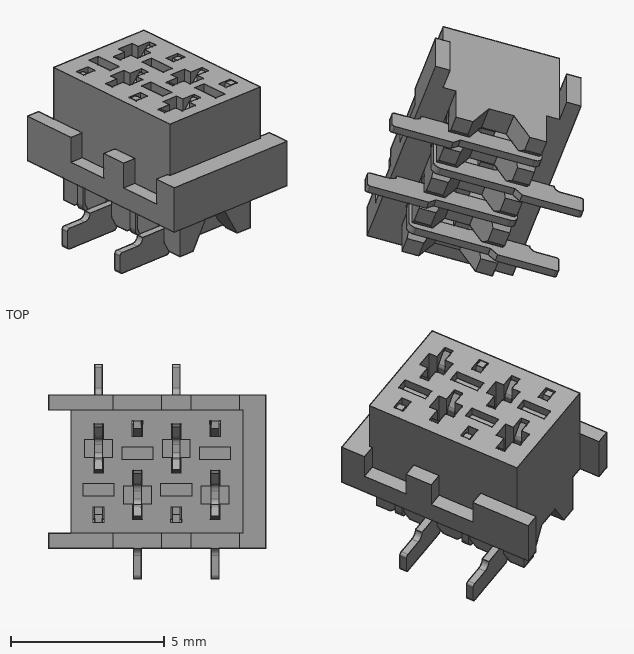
import cadquery as cq
import math

PITCH = 1.27
CONTACT_COUNT = 4
ROW_Y = 0.76
CONTACT_XS = [(i - (CONTACT_COUNT - 1) / 2) * PITCH for i in range(CONTACT_COUNT)]
TAIL_SIDES = [1, -1, 1, -1]
SEATING_HEIGHTS = [0, 0, 0.05, 0.05]

TOP_Z = 5.3
SHELF_Z = 1.805
HOUSING_BOTTOM_Z = 0.31
OVERALL_X = 7.08
BODY_X = 5.61
UPPER_Y = 4.01
LOWER_Y = 3.115

FLANGE_TOP_Z = 3.43
FLANGE_Y = 5.005
FLANGE_LEFT_OVERHANG = 0.72
FLANGE_RIGHT_OVERHANG = OVERALL_X - BODY_X - FLANGE_LEFT_OVERHANG
FLANGE_LEFT_X = -BODY_X / 2 - FLANGE_LEFT_OVERHANG
FLANGE_RIGHT_X = BODY_X / 2 + FLANGE_RIGHT_OVERHANG
NOTCH_WIDTH = 1.58
NOTCH_FLOOR_Z = 2.52

TUNNEL_ROOF_Z = 1.3
TUNNEL_ROOF_Y = 0.85
TUNNEL_MOUTH_Y = 1.955

FORK_SLOT_X = 0.31
FORK_SLOT_Y = 1.6
ENTRY_X = 0.905
ENTRY_Y = 0.595
POST_HOLE_X = 0.35
POST_HOLE_INNER_Y = 1.155
POST_HOLE_OUTER_Y = 1.66
POCKET_X = 1.01
POCKET_Y = 0.41
POCKET_CENTRE_Y = 0.595
POCKET_DEPTH = 0.3
LEAD_IN = 0.24

CONTACT_THICKNESS = 0.255
CONTACT_TOP_Z = 5.24
BAR_BOTTOM_Z = 0.25
BAR_TOP_Z = 1.0
CORNER_RADIUS = 0.255
TAIL_TIP_RADIUS = 0.1
SHOULDER_RADIUS = 0.12

OVERALL_Y = 7.0
TAIL_END_Y = OVERALL_Y / 2
TAIL_TOP_Z = 0.76
TAIL_STEP_Y = 2.5
TAIL_STEP_RADIUS = 0.235
FOOT_INNER_Y = 1.395

HEEL_Y = -1.66
HEEL_TOP_Z = 1.785
POST_ROOT_Y = -1.52
POST_TIP_OUTER_Y = -1.65
POST_TIP_INNER_Y = -1.4
POST_INNER_Y = -POST_HOLE_INNER_Y
POST_SLOPE = 76

FORK_BOTTOM_Z = 1.25
FORK_HALF_Y = 0.79
TINE_ROOT_Z = 1.805
TINE_TIP_OUTER = 0.695
TINE_TIP_INNER = 0.31
TINE_ROOT_INNER = 0.425
TINE_SLOPE = 48.5
THROAT_FLOOR_Z = 1.98
THROAT_RADIUS = 0.28
NOSE_RADIUS = 0.21
NECK_Y = 0.44


def block(x_range, y_range, z_range):
    """Axis-aligned box between the given limits."""
    (x0, x1), (y0, y1), (z0, z1) = x_range, y_range, z_range
    return cq.Workplane("XY").box(x1 - x0, y1 - y0, z1 - z0, centered=False).translate((x0, y0, z0))


def centred(middle, size):
    """Limits of a span of the given size around its middle."""
    return (middle - size / 2, middle + size / 2)


def plate(points, thickness):
    """YZ outline extruded evenly to both sides of the YZ plane."""
    return cq.Workplane("YZ").polyline(points).close().extrude(thickness / 2, both=True)


def round_corner(solid, y, z, radius):
    """Fillet the X-parallel edge at the given YZ corner."""
    corner = cq.selectors.NearestToPointSelector((0, y, z))
    return solid.edges("|X").edges(corner).fillet(radius)


def base_bar():
    """Solder tail and the bar that carries the post and the fork."""
    bar = plate(
        [
            (HEEL_Y, BAR_BOTTOM_Z),
            (FOOT_INNER_Y - BAR_BOTTOM_Z, BAR_BOTTOM_Z),
            (FOOT_INNER_Y, 0),
            (TAIL_END_Y, 0),
            (TAIL_END_Y, TAIL_TOP_Z),
            (TAIL_STEP_Y, TAIL_TOP_Z),
            (TAIL_STEP_Y, BAR_TOP_Z),
            (HEEL_Y, BAR_TOP_Z),
        ],
        CONTACT_THICKNESS,
    )
    bar = round_corner(bar, HEEL_Y, BAR_BOTTOM_Z, CORNER_RADIUS)
    bar = round_corner(bar, TAIL_STEP_Y, TAIL_TOP_Z, TAIL_STEP_RADIUS)
    for z in (0, TAIL_TOP_Z):
        bar = round_corner(bar, TAIL_END_Y, z, TAIL_TIP_RADIUS)
    return bar


def retention_post():
    """Shouldered heel with a post that leans outwards and has a sloped inner tip."""
    slope_drop = (POST_INNER_Y - POST_TIP_INNER_Y) * math.tan(math.radians(POST_SLOPE))
    post = plate(
        [
            (HEEL_Y, BAR_TOP_Z),
            (HEEL_Y, HEEL_TOP_Z),
            (POST_ROOT_Y, HEEL_TOP_Z),
            (POST_TIP_OUTER_Y, CONTACT_TOP_Z),
            (POST_TIP_INNER_Y, CONTACT_TOP_Z),
            (POST_INNER_Y, CONTACT_TOP_Z - slope_drop),
            (POST_INNER_Y, BAR_TOP_Z),
        ],
        CONTACT_THICKNESS,
    )
    return round_corner(post, HEEL_Y, HEEL_TOP_Z, SHOULDER_RADIUS)


def tuning_fork():
    """Two tines leaning towards each other, with sloped tips that guide the mating pin."""
    nose_z = CONTACT_TOP_Z - (TINE_TIP_OUTER - TINE_TIP_INNER) * math.tan(math.radians(TINE_SLOPE))
    right_half = [
        (FORK_HALF_Y, FORK_BOTTOM_Z),
        (FORK_HALF_Y, TINE_ROOT_Z),
        (TINE_TIP_OUTER, CONTACT_TOP_Z),
        (TINE_TIP_INNER, nose_z),
        (TINE_ROOT_INNER, THROAT_FLOOR_Z),
    ]
    left_half = [(-y, z) for y, z in reversed(right_half)]
    fork = plate(right_half + left_half, CONTACT_THICKNESS)
    fork = round_corner(fork, FORK_HALF_Y, FORK_BOTTOM_Z, CORNER_RADIUS)
    for side in (1, -1):
        fork = round_corner(fork, side * TINE_TIP_INNER, nose_z, NOSE_RADIUS)
        fork = round_corner(fork, side * TINE_ROOT_INNER, THROAT_FLOOR_Z, THROAT_RADIUS)
    return fork.translate((0, ROW_Y, 0))


def neck():
    """Link from bar to fork, with a half-round hollow on each side."""
    radius = (FORK_BOTTOM_Z - BAR_TOP_Z) / 2
    hollow_offset = NECK_Y / 2 + radius
    thickness = centred(0, CONTACT_THICKNESS)
    link = block(thickness, centred(ROW_Y, 2 * hollow_offset), (BAR_TOP_Z, FORK_BOTTOM_Z))
    hollows = (
        cq.Workplane("YZ")
        .pushPoints([(ROW_Y + side * hollow_offset, BAR_TOP_Z + radius) for side in (1, -1)])
        .circle(radius)
        .extrude(CONTACT_THICKNESS, both=True)
    )
    return link.cut(hollows)


def make_contact(x, tail_side, height):
    """One contact at its place, mirrored when its tail leaves towards -Y."""
    contact = base_bar().union(retention_post()).union(neck()).union(tuning_fork()).clean()
    if tail_side < 0:
        contact = contact.mirror("XZ")
    return contact.translate((x, 0, height)).solids().val()


def housing_blank():
    """Upper block, narrower lower body and flange, before any openings."""
    body_x = centred(0, BODY_X)
    upper = block(body_x, centred(0, UPPER_Y), (SHELF_Z, TOP_Z))
    lower = block(body_x, centred(0, LOWER_Y), (HOUSING_BOTTOM_Z, SHELF_Z))
    return upper.union(lower).union(flange())


def flange():
    """U-shaped flange, open on the -X side, with notches in both long walls."""
    z_range = (SHELF_Z, FLANGE_TOP_Z)
    outer = block((FLANGE_LEFT_X, FLANGE_RIGHT_X), centred(0, FLANGE_Y), z_range)
    opening = block((FLANGE_LEFT_X, BODY_X / 2), centred(0, UPPER_Y), z_range)
    walls = outer.cut(opening)
    inner_y, outer_y = UPPER_Y / 2, FLANGE_Y / 2
    for x, tail_side in zip(CONTACT_XS, TAIL_SIDES):
        if tail_side < 0:
            for y_range in ((inner_y, outer_y), (-outer_y, -inner_y)):
                notch = block(centred(x, NOTCH_WIDTH), y_range, (NOTCH_FLOOR_Z, FLANGE_TOP_Z))
                walls = walls.cut(notch)
    return walls


def tunnel():
    """Tapered passage along X through the lower body."""
    outline = [
        (-TUNNEL_MOUTH_Y / 2, HOUSING_BOTTOM_Z),
        (-TUNNEL_ROOF_Y / 2, TUNNEL_ROOF_Z),
        (TUNNEL_ROOF_Y / 2, TUNNEL_ROOF_Z),
        (TUNNEL_MOUTH_Y / 2, HOUSING_BOTTOM_Z),
    ]
    return plate(outline, BODY_X)


def bottom_slit(x):
    """Slit that holds the lower part of a contact, with a chamfered mouth."""
    slit_half = CONTACT_THICKNESS / 2
    mouth_half = slit_half + LEAD_IN
    chamfer_z = HOUSING_BOTTOM_Z + LEAD_IN
    outline = [
        (mouth_half, HOUSING_BOTTOM_Z),
        (slit_half, chamfer_z),
        (slit_half, SHELF_Z),
        (-slit_half, SHELF_Z),
        (-slit_half, chamfer_z),
        (-mouth_half, HOUSING_BOTTOM_Z),
    ]
    slit = cq.Workplane("XZ").polyline(outline).close().extrude(LOWER_Y / 2, both=True)
    return slit.translate((x, 0, 0))


def top_openings(x, tail_side):
    """Fork slot, mating pin entry, post hole and blind pocket of one contact."""
    through = (SHELF_Z, TOP_Z)
    post_hole_y = (-POST_HOLE_OUTER_Y, -POST_HOLE_INNER_Y)
    openings = block(centred(x, FORK_SLOT_X), centred(ROW_Y, FORK_SLOT_Y), through)
    openings = openings.union(block(centred(x, ENTRY_X), centred(ROW_Y, ENTRY_Y), through))
    openings = openings.union(block(centred(x, POST_HOLE_X), post_hole_y, through))
    pocket_z = (TOP_Z - POCKET_DEPTH, TOP_Z)
    pocket = block(centred(x, POCKET_X), centred(-POCKET_CENTRE_Y, POCKET_Y), pocket_z)
    openings = openings.union(pocket)
    if tail_side < 0:
        openings = openings.mirror("XZ")
    return openings


def make_housing():
    """Housing with its tunnel and the openings of every contact."""
    housing = housing_blank().cut(tunnel())
    for x, tail_side in zip(CONTACT_XS, TAIL_SIDES):
        housing = housing.cut(bottom_slit(x)).cut(top_openings(x, tail_side))
    return housing.solids().val()


housing = make_housing()
contacts = [make_contact(*place) for place in zip(CONTACT_XS, TAIL_SIDES, SEATING_HEIGHTS)]

result = cq.Compound.makeCompound([housing, *contacts])